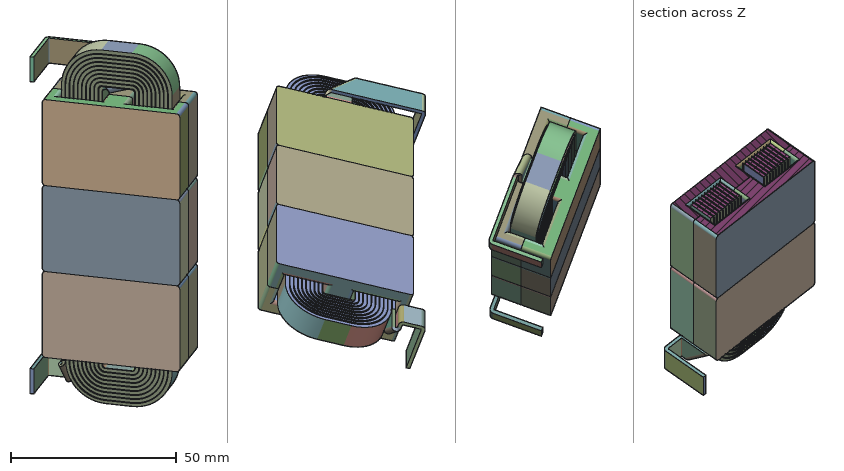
import cadquery as cq
import math

pair_count = 3
core_width = 43.2
half_core_depth = 9.5
stack_height = 83.7
window_width = 35.6
window_half_depth = 5.4
centre_leg_width = 8.0
core_rounding = 1.0
core_length = stack_height / pair_count

overall_height = 114.6
overall_width = 47.5
turns = 9
winding_build = 11.7
copper_width = 8.1
foil_thickness = 0.1
foil_width = 9.0
inner_radius = 0.97
corner_x = 4.8
coil_y = window_half_depth - foil_width / 2
copper_front = coil_y - copper_width / 2
copper_back = coil_y + copper_width / 2

pitch = winding_build / turns
copper_thickness = pitch - foil_thickness
outer_radius = inner_radius - foil_thickness + winding_build
corner_z = overall_height / 2 - outer_radius
step_corner_x = -corner_x + pitch
inner_strip_x = step_corner_x - inner_radius
outer_strip_x = -corner_x - outer_radius

bend_radius = 0.2
outer_bend = bend_radius + copper_thickness
fold_gap = 0.1
layer_step = copper_thickness + fold_gap
fold_mid_radius = layer_step / 2
fold_advance = math.pi * fold_mid_radius
fold_shift = fold_advance / math.sqrt(2)
fold_length = copper_width * math.sqrt(2)

lead_near_z = 46.5
lead_far_z = lead_near_z + copper_width
terminal_x = core_width / 2 - overall_width
terminal_end_y = -8.1
outer_lead_back_y = 8.8


def core_half(side, centre_z):
    """E-shaped half core on the side of Y given by the sign: a windowed block cut at its middle plane."""
    block = cq.Workplane("XY").box(core_width, 2 * half_core_depth, core_length)
    block = block.edges("|Y").fillet(core_rounding)
    channel_width = (window_width - centre_leg_width) / 2
    channel_x = (window_width + centre_leg_width) / 4
    channels = (
        cq.Workplane("XY")
        .pushPoints([(-channel_x, 0), (channel_x, 0)])
        .rect(channel_width, 2 * window_half_depth)
        .extrude(core_length, both=True)
    )
    window_area = cq.selectors.BoxSelector(
        (-window_width, -half_core_depth + core_rounding, -core_length),
        (window_width, half_core_depth - core_rounding, core_length),
    )
    window_edges = block.cut(channels).faces("<Z or >Z").edges("|X or |Y").edges(window_area)
    half_space = (
        cq.Workplane("XY")
        .box(core_width, half_core_depth, core_length)
        .translate((0, side * half_core_depth / 2, 0))
    )
    half = window_edges.fillet(core_rounding).intersect(half_space)
    return half.translate((0, 0, centre_z))


def corner_arc(centre_x, centre_z, radius, start_angle):
    """Quarter circle in the XZ plane, counter-clockwise from the start angle in degrees."""
    points = []
    for angle in (start_angle, start_angle + 45, start_angle + 90):
        turn = math.radians(angle)
        points.append(cq.Vector(centre_x + radius * math.cos(turn), 0, centre_z + radius * math.sin(turn)))
    return cq.Edge.makeThreePointArc(*points)


def spiral_edges(offset, start_z):
    """Edge chain of the spiral, moved outwards by the offset, from the innermost left run outwards."""
    arcs = []
    for turn in range(turns):
        radius = inner_radius + turn * pitch + offset
        arcs.append(corner_arc(step_corner_x, -corner_z, radius, 180))
        arcs.append(corner_arc(corner_x, -corner_z, radius, 270))
        arcs.append(corner_arc(corner_x, corner_z, radius, 0))
        arcs.append(corner_arc(-corner_x, corner_z, radius, 90))
    chain_start = cq.Vector(inner_strip_x - offset, 0, start_z)
    chain_end = cq.Vector(arcs[-1].endPoint().x, 0, -corner_z)
    edges = [cq.Edge.makeLine(chain_start, arcs[0].startPoint())]
    for arc, following in zip(arcs, arcs[1:]):
        edges += [arc, cq.Edge.makeLine(arc.endPoint(), following.startPoint())]
    edges += [arcs[-1], cq.Edge.makeLine(arcs[-1].endPoint(), chain_end)]
    return edges


def spiral_strip(near_offset, far_offset, width, start_z):
    """Spiral strip between two offsets, centred on the coil's Y position."""
    near = spiral_edges(near_offset, start_z)
    far = spiral_edges(far_offset, start_z)
    caps = [
        cq.Edge.makeLine(near[0].startPoint(), far[0].startPoint()),
        cq.Edge.makeLine(near[-1].endPoint(), far[-1].endPoint()),
    ]
    outline = cq.Wire.assembleEdges(near + caps[1:] + far[::-1] + caps[:1])
    strip = cq.Solid.extrudeLinear(outline, [], cq.Vector(0, width, 0))
    return cq.Workplane(obj=strip.translate(cq.Vector(0, coil_y - width / 2, 0)))


def rolled_fold(start, axis, towards_entry):
    """Half turn of strip around a 45 degree axis.

    The start is the end of the axis where the strip enters, and towards_entry points
    from the leaving layer to the entering layer.
    """
    middle = cq.Vector(0, 0, fold_length / 2)
    helix = cq.Wire.makeHelix(2 * fold_advance, fold_advance, fold_mid_radius, center=middle)
    guide = cq.Workplane("XZ", origin=middle).lineTo(0, fold_advance)
    roll = (
        cq.Workplane("XZ")
        .center(fold_mid_radius, fold_length / 2)
        .rect(copper_thickness, fold_length)
        .sweep(cq.Workplane(obj=helix), auxSpine=guide)
    )
    place = cq.Plane(origin=start, xDir=towards_entry, normal=axis)
    return cq.Workplane(obj=roll.val().moved(cq.Location(place)))


def flat_strip(plane, level, points):
    """Flat piece of strip with the given outline, one thickness up from the level along the normal."""
    return cq.Workplane(plane).workplane(offset=level).polyline(points).close().extrude(copper_thickness)


def quarter_bend(plane, level, centre, sign_u, sign_v):
    """Right-angle bend over the strip width, bulging to the given signs of the plane's two directions."""
    ring = (
        cq.Workplane(plane)
        .workplane(offset=level)
        .center(*centre)
        .circle(outer_bend)
        .circle(bend_radius)
        .extrude(copper_width)
    )
    quarter = (
        cq.Workplane(plane)
        .workplane(offset=level)
        .center(*centre)
        .rect(sign_u * outer_bend, sign_v * outer_bend, centered=False)
        .extrude(copper_width)
    )
    return ring.intersect(quarter)


def terminal(back_y, bottom_z):
    """Bend at the back left corner and the tongue that runs forward from it."""
    centre = (terminal_x + outer_bend, back_y - outer_bend)
    tongue = (
        cq.Workplane("XY")
        .box(copper_thickness, centre[1] - terminal_end_y, copper_width, centered=False)
        .translate((terminal_x, terminal_end_y, bottom_z))
    )
    return tongue.union(quarter_bend("XY", bottom_z, centre, -1, 1))


def inner_lead():
    """Lead from the innermost run: through the hole to the back, up, and left to its terminal."""
    bend_x = inner_strip_x + bend_radius
    level_top = corner_z + inner_radius - foil_thickness
    level_bottom = level_top - copper_thickness
    bend = quarter_bend("XZ", -copper_back, (bend_x, level_top - outer_bend), -1, 1)
    level = flat_strip(
        "XY",
        level_bottom,
        [(bend_x, copper_front), (bend_x + copper_width, copper_back), (bend_x, copper_back)],
    )
    first_fold = rolled_fold(
        (bend_x, copper_front, level_bottom - fold_gap / 2), (1, 1, 0), (0, 0, 1)
    )
    left = bend_x + fold_shift
    right = left + copper_width
    rise_y = copper_back + fold_shift
    lower_bottom = level_bottom - layer_step
    backward = flat_strip(
        "XY", lower_bottom, [(left, copper_front + fold_shift), (right, rise_y), (left, rise_y)]
    )
    rise_z = lower_bottom + outer_bend
    rise_bend = quarter_bend("YZ", left, (rise_y, rise_z), 1, -1)
    upright_y = rise_y + outer_bend
    fold_z = lead_near_z - fold_shift
    upright = flat_strip(
        "XZ",
        -upright_y,
        [(left, rise_z), (right, rise_z), (right, fold_z), (left, fold_z + copper_width)],
    )
    second_fold = rolled_fold((right, upright_y + fold_gap / 2, fold_z), (-1, 0, 1), (0, -1, 0))
    back_y = upright_y + layer_step
    cross_end = terminal_x + outer_bend
    cross = flat_strip(
        "XZ",
        -back_y,
        [
            (right - fold_shift, lead_near_z),
            (left - fold_shift, lead_far_z),
            (cross_end, lead_far_z),
            (cross_end, lead_near_z),
        ],
    )
    lead = bend.union(level)
    for piece in (first_fold, backward, rise_bend, upright, second_fold, cross):
        lead = lead.union(piece)
    return lead.union(terminal(back_y, lead_near_z))


def outer_lead():
    """Lead that carries the outermost run on: folded to the back, then bent to the left terminal."""
    fold_z = -lead_near_z + fold_shift
    downward = flat_strip(
        "YZ",
        outer_strip_x,
        [
            (copper_front, -corner_z),
            (copper_back, -corner_z),
            (copper_back, fold_z - copper_width),
            (copper_front, fold_z),
        ],
    )
    fold = rolled_fold((outer_strip_x - fold_gap / 2, copper_front, fold_z), (0, 1, -1), (1, 0, 0))
    side_x = outer_strip_x - layer_step
    bend_x = side_x - bend_radius
    bend_y = outer_lead_back_y - outer_bend
    side = flat_strip(
        "YZ",
        side_x,
        [
            (copper_front + fold_shift, -lead_near_z),
            (bend_y, -lead_near_z),
            (bend_y, -lead_far_z),
            (copper_back + fold_shift, -lead_far_z),
        ],
    )
    bend = quarter_bend("XY", -lead_far_z, (bend_x, bend_y), 1, 1)
    cross_end = terminal_x + outer_bend
    cross = flat_strip(
        "XZ",
        -outer_lead_back_y,
        [
            (bend_x, -lead_near_z),
            (bend_x, -lead_far_z),
            (cross_end, -lead_far_z),
            (cross_end, -lead_near_z),
        ],
    )
    lead = downward
    for piece in (fold, side, bend, cross):
        lead = lead.union(piece)
    return lead.union(terminal(outer_lead_back_y, -lead_far_z))


core_halves = []
for pair in range(pair_count):
    pair_z = (pair - (pair_count - 1) / 2) * core_length
    for side in (-1, 1):
        core_halves.append(core_half(side, pair_z).val())

inner_run_end = corner_z + inner_radius - foil_thickness - outer_bend
copper_coil = spiral_strip(0, copper_thickness, copper_width, inner_run_end).union(inner_lead())
insulation = spiral_strip(-foil_thickness, 0, foil_width, inner_run_end)
lead_out = outer_lead()

result = cq.Compound.makeCompound([*core_halves, copper_coil.val(), insulation.val(), lead_out.val()])